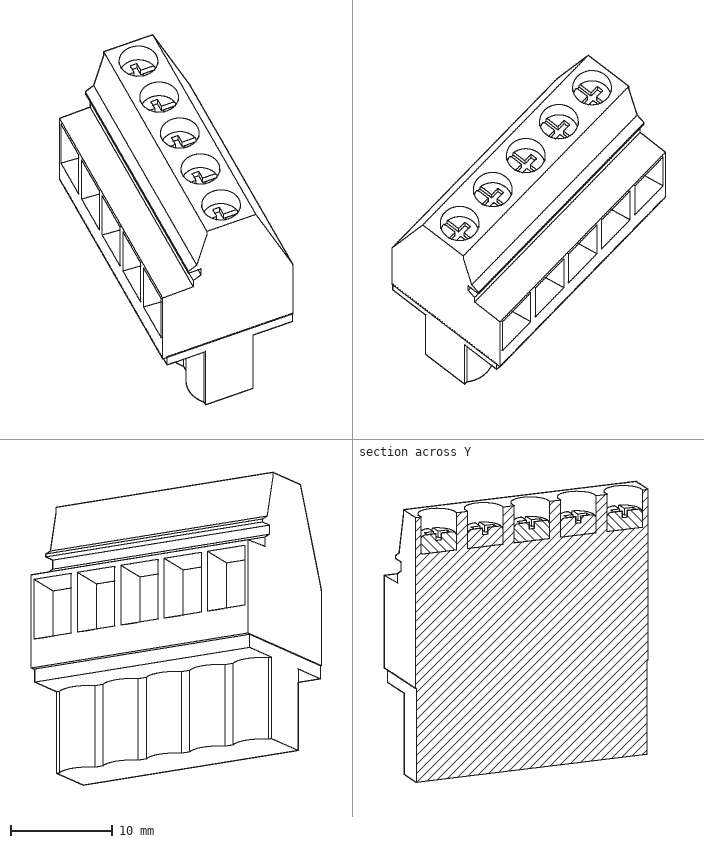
import cadquery as cq

POLES = 5
WIDTH = 25.0
DEPTH = 14.1
HEIGHT = 27.3
PITCH = WIDTH / POLES

BLOCK_BOTTOM = 9.7
BACK_TOP = 17.42
CROWN_FRONT = 4.78
CROWN_BACK = 10.07
CROWN_EDGE_DROP = 0.55
LIP_ROOT_Y = 3.69
LIP_ROOT_Z = 22.55
LIP_TIP_Y = 2.78
LIP_TOP = 22.03
LIP_BOTTOM = 21.73
GROOVE_Y = 4.15
GROOVE_BOTTOM = 20.8
LEDGE_Y = 3.3
LEDGE_TOP = 20.3
SHOULDER_BACK_Z = 19.35
SHOULDER_FRONT_Z = 19.25

SIDE_INSET = 0.1
BASE_WIDTH = WIDTH - 2 * SIDE_INSET
PLATE_FRONT = 0.52
PLATE_BOTTOM = 8.35
PLUG_FRONT = 4.7
PLUG_BACK = 9.83
LOBE_FRONT = 3.9
LOBE_WIDTH = 4.07

LATCH_WIDTH = 3 * PITCH
LATCH_BACK = 13.25
LATCH_BACK_CORNER = (LATCH_BACK, 7.95)
LATCH_SHOULDER = (12.75, 7.4)
LATCH_OUTER_CURVE = (12.12, 4.91)
LATCH_TIP_Z = 3.25
LATCH_TIP_BACK = 11.15
LATCH_TIP_FRONT = 10.67
LATCH_HOOK_Y = 10.43
LATCH_HOOK_BOTTOM = 3.8
LATCH_HOOK_TOP = 4.0
LATCH_INNER_Y = 10.95
LATCH_INNER_BOTTOM = 4.6
LATCH_INNER_TOP = 6.42
LATCH_INNER_CURVE = (10.8, 7.45)

OPENING_WIDTH = 4.29
OPENING_BOTTOM = 12.6
OPENING_TOP = 18.73
OPENING_TAPER = 0.7
OPENING_DEPTH = 2.45

SCREW_RADIUS = 1.9
SCREW_Y = (CROWN_FRONT + CROWN_BACK) / 2
SCREW_TOP = 25.4
SCREW_HEIGHT = 1.9
SCREW_EDGE_RADIUS = 0.35
SLOT_DEPTH = 0.68
LONG_SLOT_WIDTH = 0.52
SHORT_SLOT_WIDTH = 0.7
SHORT_SLOT_LENGTH = 2.4

SCREW_BOTTOM = SCREW_TOP - SCREW_HEIGHT
POLE_XS = [(i - (POLES - 1) / 2) * PITCH for i in range(POLES)]


def extrude_across(profile, width):
    """Extrude a closed YZ profile symmetrically along X."""
    return profile.extrude(width / 2, both=True)


def make_block():
    profile = (
        cq.Workplane("YZ")
        .moveTo(0, BLOCK_BOTTOM)
        .lineTo(DEPTH, BLOCK_BOTTOM)
        .lineTo(DEPTH, BACK_TOP)
        .lineTo(CROWN_BACK, HEIGHT)
        .lineTo(CROWN_FRONT, HEIGHT)
        .lineTo(CROWN_FRONT, HEIGHT - CROWN_EDGE_DROP)
        .lineTo(LIP_ROOT_Y, LIP_ROOT_Z)
        .lineTo(LIP_TIP_Y, LIP_TOP)
        .lineTo(LIP_TIP_Y, LIP_BOTTOM)
        .lineTo(GROOVE_Y, LIP_BOTTOM)
        .lineTo(GROOVE_Y, GROOVE_BOTTOM)
        .lineTo(LEDGE_Y, LEDGE_TOP)
        .lineTo(LEDGE_Y, SHOULDER_BACK_Z)
        .lineTo(0, SHOULDER_FRONT_Z)
        .close()
    )
    return extrude_across(profile, WIDTH)


def make_plate():
    depth = DEPTH - PLATE_FRONT
    height = BLOCK_BOTTOM - PLATE_BOTTOM
    return (
        cq.Workplane("XY", origin=(0, PLATE_FRONT, PLATE_BOTTOM))
        .box(BASE_WIDTH, depth, height, centered=(True, False, False))
    )


def make_plug():
    """Flat-backed plug whose front bulges once per pole."""
    outline = cq.Workplane("XY").moveTo(-BASE_WIDTH / 2, PLUG_FRONT)
    for x in POLE_XS:
        outline = outline.lineTo(x - LOBE_WIDTH / 2, PLUG_FRONT)
        outline = outline.threePointArc((x, LOBE_FRONT), (x + LOBE_WIDTH / 2, PLUG_FRONT))
    return (
        outline.lineTo(BASE_WIDTH / 2, PLUG_FRONT)
        .lineTo(BASE_WIDTH / 2, PLUG_BACK)
        .lineTo(-BASE_WIDTH / 2, PLUG_BACK)
        .close()
        .extrude(PLATE_BOTTOM)
    )


def make_latch():
    """Curved finger hanging from the plate, with a hooked tip turned toward the plug."""
    profile = (
        cq.Workplane("YZ")
        .moveTo(LATCH_BACK, PLATE_BOTTOM)
        .lineTo(*LATCH_BACK_CORNER)
        .lineTo(*LATCH_SHOULDER)
        .threePointArc(LATCH_OUTER_CURVE, (LATCH_TIP_BACK, LATCH_TIP_Z))
        .lineTo(LATCH_TIP_FRONT, LATCH_TIP_Z)
        .lineTo(LATCH_HOOK_Y, LATCH_HOOK_BOTTOM)
        .lineTo(LATCH_HOOK_Y, LATCH_HOOK_TOP)
        .lineTo(LATCH_INNER_Y, LATCH_INNER_BOTTOM)
        .lineTo(LATCH_INNER_Y, LATCH_INNER_TOP)
        .threePointArc(LATCH_INNER_CURVE, (LATCH_HOOK_Y, PLATE_BOTTOM))
        .close()
    )
    return extrude_across(profile, LATCH_WIDTH)


def make_opening(x):
    """Tapered wire opening cut into the front face."""
    height = OPENING_TOP - OPENING_BOTTOM
    return (
        cq.Workplane("XZ", origin=(x, 0, (OPENING_TOP + OPENING_BOTTOM) / 2))
        .rect(OPENING_WIDTH, height)
        .workplane(offset=-OPENING_DEPTH)
        .rect(OPENING_WIDTH - 2 * OPENING_TAPER, height - 2 * OPENING_TAPER)
        .loft(ruled=True)
    )


def make_screw_hole(x):
    return (
        cq.Workplane("XY", origin=(x, SCREW_Y, SCREW_BOTTOM))
        .circle(SCREW_RADIUS)
        .extrude(HEIGHT - SCREW_BOTTOM)
    )


def make_housing():
    housing = make_block().union(make_plate()).union(make_plug()).union(make_latch())
    for x in POLE_XS:
        housing = housing.cut(make_opening(x)).cut(make_screw_hole(x))
    return housing


def make_screw(x):
    """Round-edged screw head with a full-width slot along Y and a short cross slot along X."""
    head = (
        cq.Workplane("XY", origin=(x, SCREW_Y, SCREW_BOTTOM))
        .circle(SCREW_RADIUS)
        .extrude(SCREW_HEIGHT)
        .faces(">Z")
        .edges()
        .fillet(SCREW_EDGE_RADIUS)
    )
    top = cq.Workplane("XY", origin=(x, SCREW_Y, SCREW_TOP))
    long_slot = top.rect(LONG_SLOT_WIDTH, 2 * SCREW_RADIUS).extrude(-SLOT_DEPTH)
    short_slot = top.rect(SHORT_SLOT_LENGTH, SHORT_SLOT_WIDTH).extrude(-SLOT_DEPTH)
    return head.cut(long_slot).cut(short_slot)


housing = make_housing()
screws = [make_screw(x) for x in POLE_XS]

result = cq.Compound.makeCompound([housing.solids().val(), *[screw.solids().val() for screw in screws]])